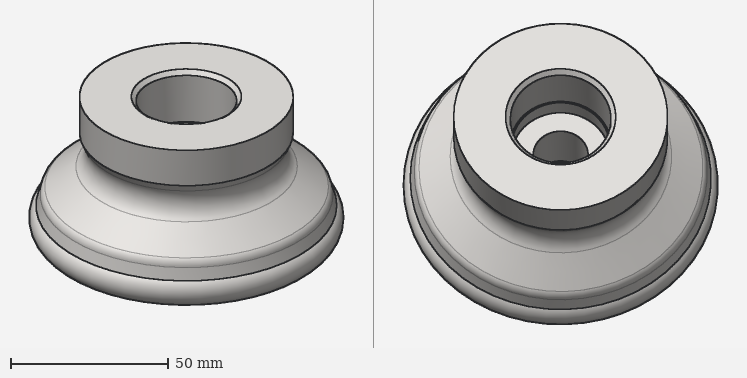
import cadquery as cq
import math

height = 50.0
outer_diameter = 100.0

ring_section_radius = 5.6
ring_center_radius = outer_diameter / 2 - ring_section_radius
ring_center_height = ring_section_radius

collar_radius = 68.0 / 2
collar_bottom = 37.0
waist_radius = 32.0
waist_height = 30.9
waist_arc_radius = 8.0
waist_arc_top = 34.5
waist_arc_bottom = 24.5

shoulder_radius = 45.1
shoulder_top = 17.0
skirt_radius = 46.6
skirt_top = 14.3
skirt_draft = 16.0

bore_radius = 32.0 / 2
bore_chamfer = 1.5
bore_step_height = 31.5
lower_bore_radius = 31.0 / 2
bore_floor = 25.0
through_hole_radius = 17.5 / 2


def waist_arc_x(z):
    """Radius of the concave waist at height z."""
    arc_center_radius = waist_radius + waist_arc_radius
    return arc_center_radius - math.sqrt(waist_arc_radius**2 - (z - waist_height) ** 2)


def revolve_profile(profile):
    """Revolve a closed radius-height profile about Z."""
    return profile.revolve(360, (0, 0), (0, 1))


def make_ring():
    profile = cq.Workplane("XZ").center(ring_center_radius, ring_center_height)
    return profile.circle(ring_section_radius).revolve(
        360, (-ring_center_radius, 0), (-ring_center_radius, 1)
    )


def make_housing_blank():
    """Housing exterior, ending at mid-height of the cushion ring."""
    base_height = ring_center_height
    base_radius = skirt_radius + (skirt_top - base_height) * math.tan(math.radians(skirt_draft))
    profile = (
        cq.Workplane("XZ")
        .moveTo(0, height)
        .lineTo(collar_radius, height)
        .lineTo(collar_radius, collar_bottom)
        .lineTo(waist_arc_x(waist_arc_top), waist_arc_top)
        .threePointArc(
            (waist_radius, waist_height),
            (waist_arc_x(waist_arc_bottom), waist_arc_bottom),
        )
        .lineTo(shoulder_radius, shoulder_top)
        .tangentArcPoint((skirt_radius, skirt_top), relative=False)
        .lineTo(base_radius, base_height)
        .lineTo(0, base_height)
        .close()
    )
    return revolve_profile(profile)


def make_bore():
    """Chamfered, stepped bore with a smaller hole through its floor."""
    profile = (
        cq.Workplane("XZ")
        .moveTo(0, height)
        .lineTo(bore_radius + bore_chamfer, height)
        .lineTo(bore_radius, height - bore_chamfer)
        .lineTo(bore_radius, bore_step_height)
        .lineTo(lower_bore_radius, bore_step_height)
        .lineTo(lower_bore_radius, bore_floor)
        .lineTo(through_hole_radius, bore_floor)
        .lineTo(through_hole_radius, 0)
        .lineTo(0, 0)
        .close()
    )
    return revolve_profile(profile)


cushion_ring = make_ring()
housing = make_housing_blank().cut(make_bore()).cut(cushion_ring)

result = cq.Compound.makeCompound([housing.val(), cushion_ring.val()])